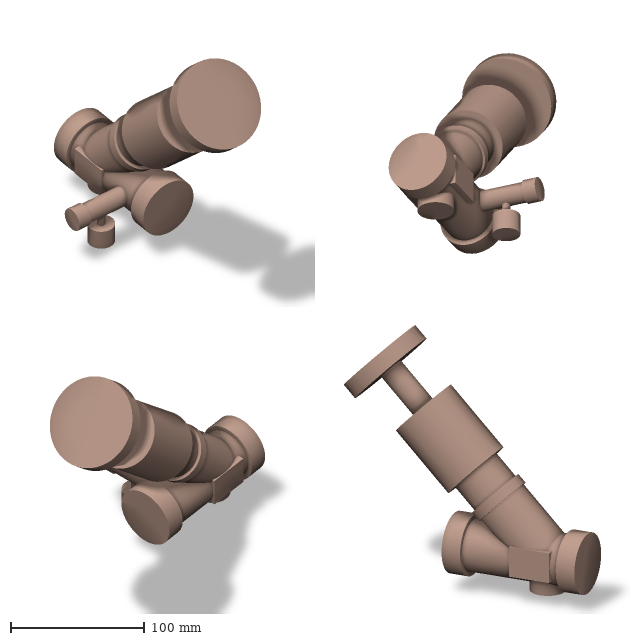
import cadquery as cq
import math


pipe_length = 110.0
pipe_diameter = 40.2
flange_diameter = 47.7
left_flange_length = 15.5
right_flange_length = 15.2

branch_x = 32.3
branch_angle = 45.0
branch_diameter = 41.5
collar_diameter = 45.3
collar_start = 54.5
collar_length = 8.3
neck_diameter = 40.2
actuator_diameter = 54.0
actuator_start = 85.5
actuator_length = 61.4
stem_diameter = 19.2
handwheel_diameter = 70.0
handwheel_start = 185.3
handwheel_thickness = 13.0

pad_left = 22.2
pad_length = 33.3
pad_height = 23.8
pad_span = 42.5

boss_x = 33.0
boss_diameter = 27.5
boss_depth = 26.0

outlet_x = 77.2
outlet_diameter = 15.8
outlet_reach = 66.0
cap_diameter = 18.5
cap_length = 10.9
gauge_offset = 38.5
gauge_diameter = 21.0
gauge_top_depth = 16.6
gauge_bottom_depth = 32.9
gauge_stem_diameter = 6.5

ALONG_X = (1, 0, 0)
TOWARD_FRONT = (0, -1, 0)
DOWN = (0, 0, -1)


def rod(origin, direction, diameter, start, end):
    """Cylinder between two distances from origin along a unit direction."""
    base = cq.Vector(*origin) + cq.Vector(*direction) * start
    solid = cq.Solid.makeCylinder(diameter / 2, end - start, base, cq.Vector(*direction))
    return cq.Workplane(obj=solid)


def make_pipe():
    origin = (0, 0, 0)
    pipe = rod(origin, ALONG_X, pipe_diameter, 0, pipe_length)
    left_flange = rod(origin, ALONG_X, flange_diameter, 0, left_flange_length)
    right_flange = rod(origin, ALONG_X, flange_diameter, pipe_length - right_flange_length, pipe_length)
    return pipe.union(left_flange).union(right_flange)


def make_branch():
    angle = math.radians(branch_angle)
    direction = (math.cos(angle), 0, math.sin(angle))
    collar_end = collar_start + collar_length
    actuator_end = actuator_start + actuator_length
    handwheel_end = handwheel_start + handwheel_thickness
    sections = [
        (branch_diameter, 0, collar_start),
        (collar_diameter, collar_start, collar_end),
        (neck_diameter, collar_end, actuator_start),
        (actuator_diameter, actuator_start, actuator_end),
        (stem_diameter, actuator_end, handwheel_start),
        (handwheel_diameter, handwheel_start, handwheel_end),
    ]
    branch = cq.Workplane()
    for diameter, start, end in sections:
        branch = branch.union(rod((branch_x, 0, 0), direction, diameter, start, end))
    return branch


def make_pads():
    pad_center_x = pad_left + pad_length / 2
    return cq.Workplane().box(pad_length, pad_span, pad_height).translate((pad_center_x, 0, 0))


def make_boss():
    return rod((boss_x, 0, 0), DOWN, boss_diameter, 0, boss_depth)


def make_outlet():
    origin = (outlet_x, 0, 0)
    outlet = rod(origin, TOWARD_FRONT, outlet_diameter, 0, outlet_reach)
    cap = rod(origin, TOWARD_FRONT, cap_diameter, outlet_reach - cap_length, outlet_reach)
    return outlet.union(cap)


def make_gauge():
    origin = (outlet_x, -gauge_offset, 0)
    gauge_stem = rod(origin, DOWN, gauge_stem_diameter, 0, gauge_top_depth)
    gauge = rod(origin, DOWN, gauge_diameter, gauge_top_depth, gauge_bottom_depth)
    return gauge_stem.union(gauge)


result = (
    make_pipe()
    .union(make_branch())
    .union(make_pads())
    .union(make_boss())
    .union(make_outlet())
    .union(make_gauge())
)